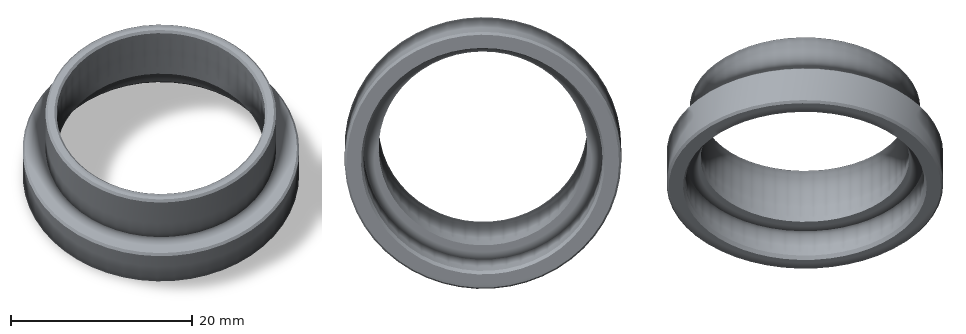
import cadquery as cq

flange_diameter = 30.48
tube_diameter = 25.42
bore_diameter = 22.98
total_height = 11.05
flange_height = 4.85
edge_chamfer = 0.25

recess_diameter = 26.35
recess_depth = 3.8
recess_bevel_width = 0.25
recess_bevel_height = 0.43


def chamfered_cylinder(diameter, height, edges):
    """Cylinder rising from Z = 0 with the selected rims chamfered."""
    cylinder = cq.Workplane("XY").circle(diameter / 2).extrude(height)
    return cylinder.faces(edges).edges().chamfer(edge_chamfer)


def rim_bevel(diameter, width, rim_height, end_height):
    """Cone that widens a hole by width at its rim, tapering to diameter at end_height."""
    radius = diameter / 2
    profile = [
        (0, rim_height),
        (radius + width, rim_height),
        (radius, end_height),
        (0, end_height),
    ]
    return cq.Workplane("XZ").polyline(profile).close().revolve(360, (0, 0, 0), (0, 1, 0))


flange = chamfered_cylinder(flange_diameter, flange_height, "<Z or >Z")
tube = chamfered_cylinder(tube_diameter, total_height, ">Z")
body = flange.union(tube)

bore = cq.Workplane("XY").circle(bore_diameter / 2).extrude(total_height)
bore_bevel = rim_bevel(bore_diameter, edge_chamfer, total_height, total_height - edge_chamfer)

recess = cq.Workplane("XY").circle(recess_diameter / 2).extrude(recess_depth)
recess_bevel = rim_bevel(recess_diameter, recess_bevel_width, 0, recess_bevel_height)

result = body.cut(bore).cut(bore_bevel).cut(recess).cut(recess_bevel)